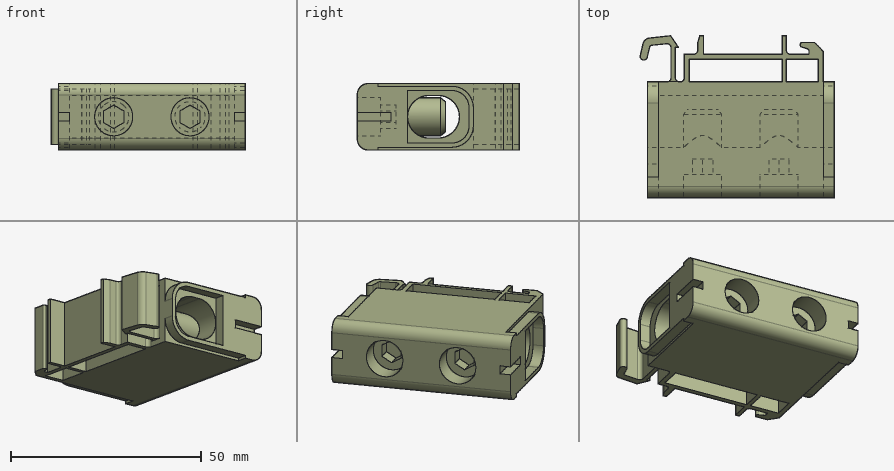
import cadquery as cq
import math

overall_length = 50.9
body_length = 49.0
body_depth = 30.45
height = 17.5
front_edge_radius = 3.0

cap_length = 2.9
cap_step_depth = 5.45
cap_step_height = 0.75
cap_rear_radius = 5.6
rim_width = 1.1
recess_front = 13.2
notch_depth = 8.85
notch_height = 2.2

channel_height = 11.1
channel_front = 13.25
channel_rear = 26.75

screw_spacing = 20.0
screw_radius = 5.0
screw_head_face = 6.1
screw_tip_face = 23.15
screw_tip_chamfer_length = 1.25
screw_tip_chamfer_radial = 1.0
hex_across_flats = 5.3
hex_depth = 4.05

frame_left = 9.65
frame_wall = 1.35
frame_back = 37.65
divider_left = 35.3
divider_width = 1.1
prong_left = 13.2
prong_right = 14.75
prong_tip_left = 13.75
prong_taper_start = 40.6
prong_end = 42.5
root_radius = 1.0

catch_root_left = 42.3
catch_root_end = 38.95
catch_nose_left = 40.05
catch_nose_front = 39.6
catch_rear = 40.7
catch_bevel_left = 43.8
catch_bevel_front = 38.4
catch_nose_radius = 0.45

latch_height = 14.55
latch_leg_left = 6.2
latch_leg_width = 1.15
latch_root_overlap = 1.0
latch_inner_rear = 40.45
latch_inner_radius = 1.0
latch_bridge_inner = 39.9
latch_bridge_inner_radius = 0.5
latch_bridge_outer = 41.75
latch_bridge_outer_radius = 2.0
latch_peak_x = 6.1
latch_barb_x = 8.2
latch_barb_y = 39.4
lip_radius = 0.95
lip_lean = math.radians(13)
lip_tip_y = 37.05

block_left = cap_length
block_right = body_length - cap_length
mid_x = body_length / 2


def rounded_outline(corners, thickness):
    """Centred prism along Z; each corner is (x, y) or (x, y, radius)."""
    count = len(corners)
    outline = None
    for index, corner in enumerate(corners):
        x, y = corner[:2]
        radius = corner[2] if len(corner) == 3 else 0
        before = corners[index - 1]
        after = corners[(index + 1) % count]
        angle_in = math.atan2(before[1] - y, before[0] - x)
        angle_out = math.atan2(after[1] - y, after[0] - x)
        half_angle = (angle_out - angle_in) / 2
        setback = abs(radius / math.tan(half_angle))
        start = (x + setback * math.cos(angle_in), y + setback * math.sin(angle_in))
        if outline is None:
            outline = cq.Workplane("XY").workplane(offset=-thickness / 2).moveTo(*start)
        else:
            outline = outline.lineTo(*start)
        if radius:
            end = (x + setback * math.cos(angle_out), y + setback * math.sin(angle_out))
            toward_x = math.cos(angle_in) + math.cos(angle_out)
            toward_y = math.sin(angle_in) + math.sin(angle_out)
            reach = radius / abs(math.sin(half_angle)) - radius
            scale = reach / math.hypot(toward_x, toward_y)
            outline = outline.threePointArc((x + toward_x * scale, y + toward_y * scale), end)
    return outline.close().extrude(thickness)


def box(x_min, x_max, y_min, y_max, z_size):
    return cq.Workplane("XY").box(x_max - x_min, y_max - y_min, z_size).translate(
        ((x_min + x_max) / 2, (y_min + y_max) / 2, 0)
    )


def make_cap(x_min):
    """End cap: full-height front strip, rounded rear rim, recess and front notch."""
    x_max = x_min + cap_length
    rim_height = height - 2 * cap_step_height
    cap = box(x_min, x_max, 0, body_depth, rim_height).edges(">Y and |X").fillet(cap_rear_radius)
    cap = cap.union(box(x_min, x_max, 0, cap_step_depth, height))
    recess = box(x_min, x_max, recess_front, body_depth - rim_width, rim_height - 2 * rim_width)
    recess = recess.edges(">Y and |X").fillet(cap_rear_radius - rim_width)
    notch = box(x_min, x_max, 0, notch_depth, notch_height)
    return cap.cut(recess).cut(notch)


def make_housing():
    block = box(block_left, block_right, 0, body_depth, height)
    housing = block.union(make_cap(0)).union(make_cap(block_right))
    rounded_front = box(0, body_length, 0, body_depth, height).edges("<Y and |X").fillet(front_edge_radius)
    housing = housing.intersect(rounded_front)
    channel = (
        cq.Workplane("YZ", origin=(0, (channel_front + channel_rear) / 2, 0))
        .slot2D(channel_rear - channel_front, channel_height)
        .extrude(body_length)
    )
    return housing.cut(channel)


def add_screw(housing, x):
    """Bore from the front face, with a chamfered hex-socket screw seated in it."""
    bore = cq.Workplane("XZ", origin=(x, 0, 0)).circle(screw_radius).extrude(-screw_head_face)
    straight_end = screw_tip_face - screw_tip_chamfer_length
    tip_radius = screw_radius - screw_tip_chamfer_radial
    profile = [
        (0, screw_head_face),
        (screw_radius, screw_head_face),
        (screw_radius, straight_end),
        (tip_radius, screw_tip_face),
        (0, screw_tip_face),
    ]
    screw = cq.Workplane("XY").polyline(profile).close().revolve(360, (0, 0, 0), (0, 1, 0))
    socket = (
        cq.Workplane("XZ", origin=(x, screw_head_face, 0))
        .transformed(rotate=(0, 0, 90))
        .polygon(6, hex_across_flats / math.cos(math.pi / 6))
        .extrude(-hex_depth)
    )
    return housing.cut(bore).union(screw.translate((x, 0, 0))).cut(socket)


def make_frame():
    """Open frame with two pockets, two prongs and the catch, rooted in the block."""
    divider_right = divider_left + divider_width
    wall_root = body_depth - frame_wall
    outline = [
        (frame_left - 2 * root_radius, wall_root),
        (frame_left - 2 * root_radius, body_depth),
        (frame_left, body_depth, root_radius),
        (frame_left, frame_back),
        (prong_left, frame_back, root_radius),
        (prong_left, prong_taper_start),
        (prong_tip_left, prong_end),
        (prong_right, prong_end),
        (prong_right, frame_back),
        (divider_left, frame_back),
        (divider_left, prong_end),
        (divider_right, prong_end),
        (divider_right, frame_back, root_radius),
        (catch_root_left, frame_back),
        (catch_root_left, catch_root_end, catch_nose_radius),
        (catch_nose_left, catch_nose_front, catch_nose_radius),
        (catch_nose_left, catch_rear, catch_nose_radius),
        (catch_bevel_left, catch_rear),
        (block_right, catch_bevel_front),
        (block_right, wall_root),
    ]
    frame = rounded_outline(outline, height)
    pocket_back = frame_back - frame_wall
    left_pocket = box(frame_left + frame_wall, divider_left, body_depth, pocket_back, height)
    right_pocket = box(divider_right, block_right - frame_wall, body_depth, pocket_back, height)
    return frame.cut(left_pocket).cut(right_pocket)


def make_latch():
    """Leg rising from the block, bridge across its end and a leaning lip with a round tip."""
    leg_right = latch_leg_left + latch_leg_width
    tip_x = body_length - overall_length + lip_radius
    end_x = lip_radius * math.cos(lip_lean)
    end_y = lip_radius * math.sin(lip_lean)

    def lip_edge(side, y):
        return tip_x + side * lip_radius / math.cos(lip_lean) + (y - lip_tip_y) * math.tan(lip_lean)

    outline = [
        (latch_leg_left - 2 * root_radius, body_depth - latch_root_overlap),
        (latch_leg_left - 2 * root_radius, body_depth),
        (latch_leg_left, body_depth, root_radius),
        (latch_leg_left, latch_inner_rear, latch_inner_radius),
        (lip_edge(1, latch_bridge_inner), latch_bridge_inner, latch_bridge_inner_radius),
        (tip_x + end_x, lip_tip_y - end_y),
        (tip_x - end_x, lip_tip_y + end_y),
        (lip_edge(-1, latch_bridge_outer), latch_bridge_outer, latch_bridge_outer_radius),
        (latch_peak_x, prong_end),
        (latch_barb_x, latch_barb_y),
        (leg_right, latch_barb_y),
        (leg_right, body_depth, root_radius),
        (leg_right + 2 * root_radius, body_depth),
        (leg_right + 2 * root_radius, body_depth - latch_root_overlap),
    ]
    tip = cq.Workplane("XY").cylinder(latch_height, lip_radius).translate((tip_x, lip_tip_y, 0))
    return rounded_outline(outline, latch_height).union(tip)


housing = make_housing()
for side in (-1, 1):
    housing = add_screw(housing, mid_x + side * screw_spacing / 2)

result = housing.union(make_frame()).union(make_latch())